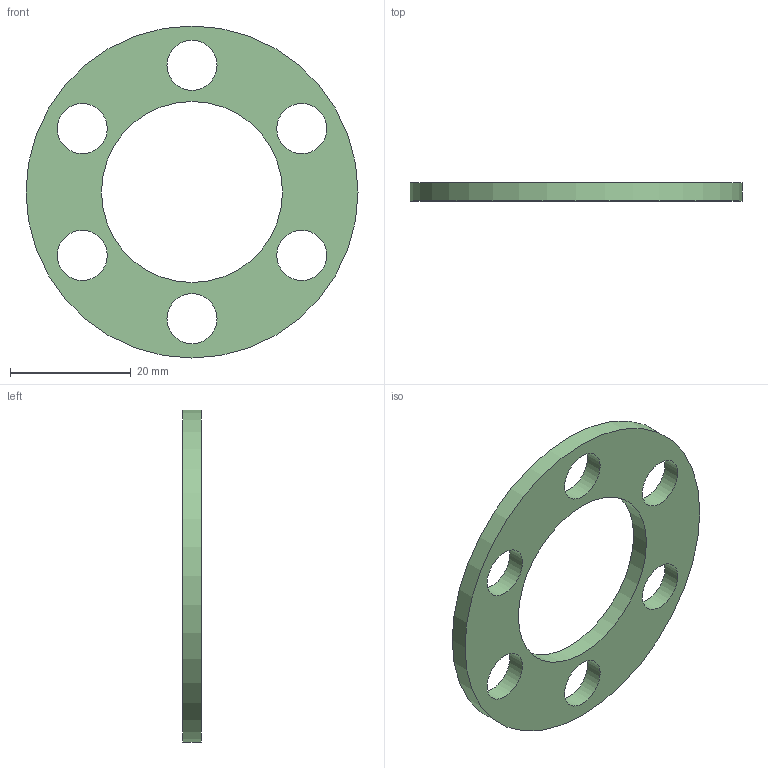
import cadquery as cq

outer_diameter = 55.0
bore_diameter = 30.0
thickness = 3.0
hole_count = 6
hole_diameter = 8.3
hole_circle_diameter = 42.0
first_hole_angle = 90.0


def front_face_plane():
    """Workplane on the -Y face; extruding by a negative length goes toward +Y."""
    return cq.Workplane("XZ", origin=(0, -thickness / 2, 0))


def ring_body():
    """Ring with its axis along Y, centred on the origin."""
    return (
        front_face_plane()
        .circle(outer_diameter / 2)
        .circle(bore_diameter / 2)
        .extrude(-thickness)
    )


def hole_cutters():
    """Evenly spaced cylinders that pass through the full thickness."""
    return (
        front_face_plane()
        .polarArray(hole_circle_diameter / 2, first_hole_angle, 360, hole_count)
        .circle(hole_diameter / 2)
        .extrude(-thickness)
    )


result = ring_body().cut(hole_cutters())